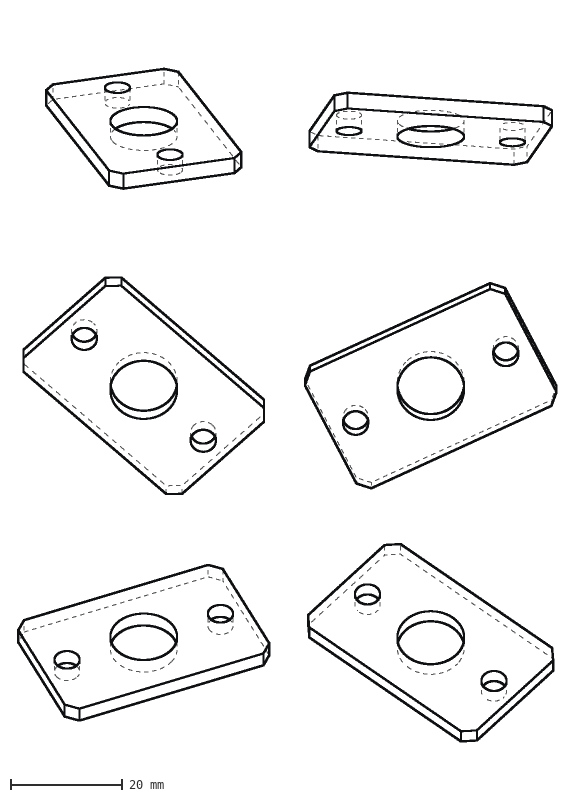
import cadquery as cq

length = 40.0
width = 25.0
thickness = 3.0
corner_chamfer = 2.0

bore_diameter = 12.0
mounting_hole_diameter = 4.5
mounting_hole_spacing = 30.0

plate = (
    cq.Workplane("XY")
    .box(length, width, thickness)
    .edges("|Z")
    .chamfer(corner_chamfer)
)

plate = plate.faces(">Z").workplane(origin=(0, 0, 0)).hole(bore_diameter)

mounting_points = [(side * mounting_hole_spacing / 2, 0) for side in (-1, 1)]
result = (
    plate.faces(">Z")
    .workplane(origin=(0, 0, 0))
    .pushPoints(mounting_points)
    .hole(mounting_hole_diameter)
)